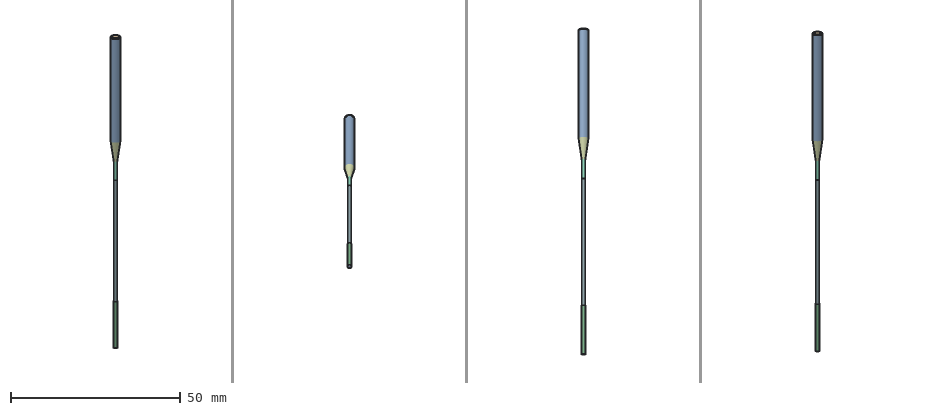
import cadquery as cq
import math


overall_length = 100.0
head_length = 15.0
flute_length = 54.0
neck_top = 60.0
cone_top = 66.5

shank_diameter = 3.0
neck_diameter = 1.17
head_diameter = 1.2
point_angle = 150.0
shank_chamfer = 0.3

shank_radius = shank_diameter / 2
neck_radius = neck_diameter / 2
head_radius = head_diameter / 2
point_height = head_radius / math.tan(math.radians(point_angle / 2))


def revolved(outline):
    """Turn a closed outline of (radius, height) points once around the Z axis."""
    points = [(-radius, height) for radius, height in outline]
    profile = cq.Workplane("YZ").polyline(points).close()
    return profile.revolve(360, (0, 0, 0), (0, 1, 0))


cutting_end = revolved([
    (0, 0),
    (head_radius, point_height),
    (head_radius, head_length),
    (neck_radius, head_length),
    (neck_radius, flute_length),
    (0, flute_length),
])

holder = revolved([
    (0, flute_length),
    (neck_radius, flute_length),
    (neck_radius, neck_top),
    (shank_radius, cone_top),
    (shank_radius, overall_length - shank_chamfer),
    (shank_radius - shank_chamfer, overall_length),
    (0, overall_length),
])

result = cq.Compound.makeCompound([cutting_end.val(), holder.val()])